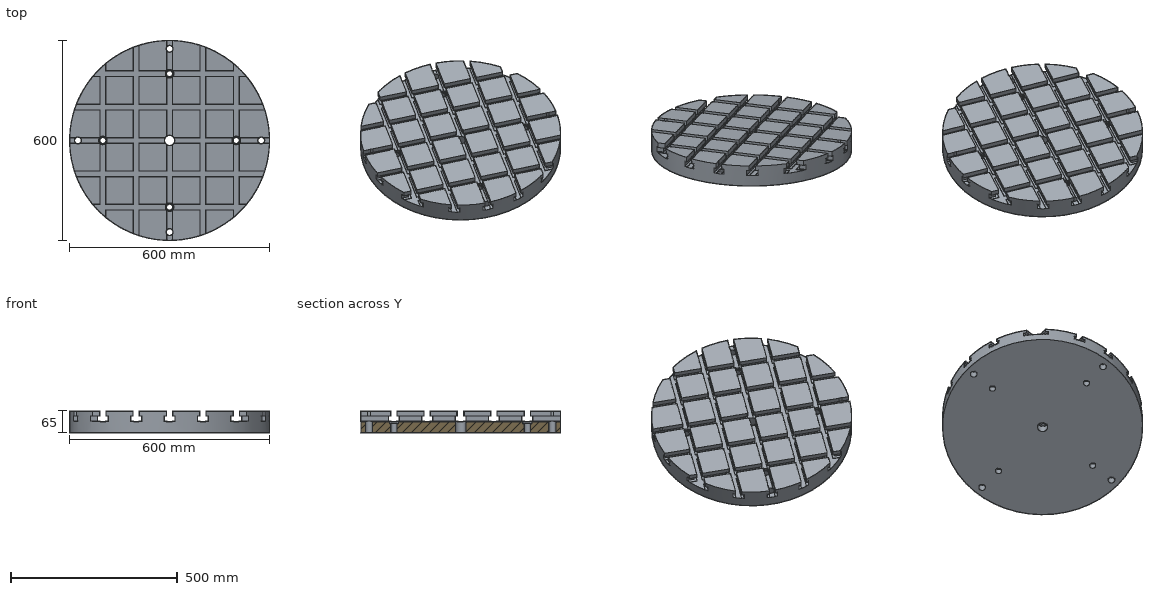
import cadquery as cq

diameter = 600
height = 65.0

slot_pitch = diameter / 6
slots_each_side = 2
neck_width = 18.0
neck_depth = 15.0
head_width = 32.0
head_depth = 15.0
relief_width = 16.0
relief_depth = 1.0
slot_depth = neck_depth + head_depth + relief_depth
outer_slot_offset = slots_each_side * slot_pitch
slot_offsets = [i * slot_pitch for i in range(-slots_each_side, slots_each_side + 1)]

center_hole = 30.0
rim_hole = 20.0
rim_hole_radius = 275.0
bolt_hole = 18.0
bolt_radius = outer_slot_offset
counterbore = 26.0
counterbore_below_slot = 6.0


def channel(width, depth, offset):
    """Straight cutter along Y, from the top face down to the given depth."""
    return (
        cq.Workplane("XY")
        .box(width, diameter, depth, centered=(True, True, False))
        .translate((offset, 0, height - depth))
    )


def t_slot(offset):
    """Cutter along Y: narrow neck, wide head and a shallow relief groove in the slot floor."""
    neck = channel(neck_width, neck_depth, offset)
    head = channel(head_width, neck_depth + head_depth, offset)
    head = head.cut(channel(head_width, neck_depth, offset))
    relief = channel(relief_width, slot_depth, offset)
    return neck.union(head).union(relief)


def corner_cutter(side_x, side_y):
    """Square block reaching outward from the outermost slot crossing of one quadrant."""
    size = diameter / 2 - outer_slot_offset
    center = outer_slot_offset + size / 2
    block = cq.Workplane("XY").box(size, size, slot_depth, centered=(True, True, False))
    return block.translate((side_x * center, side_y * center, height - slot_depth))


def cross_points(radius):
    """Four points on the X and Y axes at the given radius."""
    return [(radius, 0), (0, radius), (-radius, 0), (0, -radius)]


def holes(points, hole_diameter, depth):
    """Round cutters reaching down from the top face."""
    top = cq.Workplane("XY").workplane(offset=height)
    return top.pushPoints(points).circle(hole_diameter / 2).extrude(-depth)


result = cq.Workplane("XY").circle(diameter / 2).extrude(height)

for offset in slot_offsets:
    slot = t_slot(offset)
    result = result.cut(slot)
    result = result.cut(slot.rotate((0, 0, 0), (0, 0, 1), 90))

for side_x in (-1, 1):
    for side_y in (-1, 1):
        result = result.cut(corner_cutter(side_x, side_y))

result = result.cut(holes([(0, 0)], center_hole, height))
result = result.cut(holes(cross_points(rim_hole_radius), rim_hole, height))
result = result.cut(holes(cross_points(bolt_radius), bolt_hole, height))
result = result.cut(holes(cross_points(bolt_radius), counterbore, slot_depth + counterbore_below_slot))